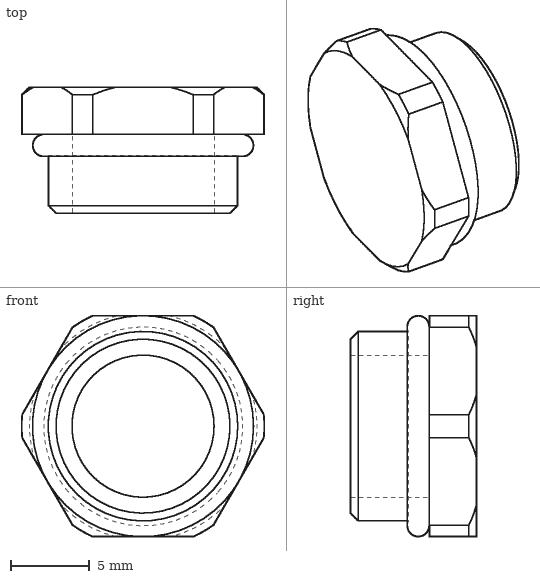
import cadquery as cq
import math

corner_diameter = 15.39
across_flats = 14.0
total_length = 8.0
head_length = 3.0
shank_diameter = 12.0
bore_diameter = 9.0
bore_depth = 5.0
ring_thickness = 1.4
chamfer = 0.5

head_face_y = total_length - head_length
sharp_corner_diameter = across_flats / math.cos(math.radians(30))
corner_radius = corner_diameter / 2
shank_radius = shank_diameter / 2
ring_center_radius = (across_flats - ring_thickness) / 2


def cylinder_along_y(radius, start_y, length):
    """Solid cylinder about the Y axis, extending toward +Y from start_y."""
    return cq.Workplane("XZ", origin=(0, start_y, 0)).circle(radius).extrude(-length)


def make_head():
    """Hexagon with flats facing +Z and -Z, its corners turned round and chamfered."""
    hexagon = (
        cq.Workplane("XZ", origin=(0, head_face_y, 0))
        .polygon(6, sharp_corner_diameter)
        .extrude(-head_length)
    )
    turned_blank = cylinder_along_y(corner_radius, head_face_y, head_length).faces(">Y").chamfer(chamfer)
    return hexagon.intersect(turned_blank)


def make_shank():
    """Round shank with a chamfered open end."""
    return cylinder_along_y(shank_radius, 0, head_face_y).faces("<Y").chamfer(chamfer)


def make_sealing_ring():
    """Round-section ring seated against the head, solid through to the axis."""
    section_radius = ring_thickness / 2
    ring_center_y = head_face_y - section_radius
    sunk_depth = ring_center_radius - shank_radius
    shank_contact_y = ring_center_y - math.sqrt(section_radius**2 - sunk_depth**2)
    return (
        cq.Workplane("XY")
        .moveTo(0, shank_contact_y)
        .lineTo(shank_radius, shank_contact_y)
        .threePointArc(
            (ring_center_radius + section_radius, ring_center_y),
            (ring_center_radius, head_face_y),
        )
        .lineTo(0, head_face_y)
        .close()
        .revolve(360, (0, 0), (0, 1))
    )


bore = cylinder_along_y(bore_diameter / 2, 0, bore_depth)
result = make_head().union(make_shank()).union(make_sealing_ring()).cut(bore)